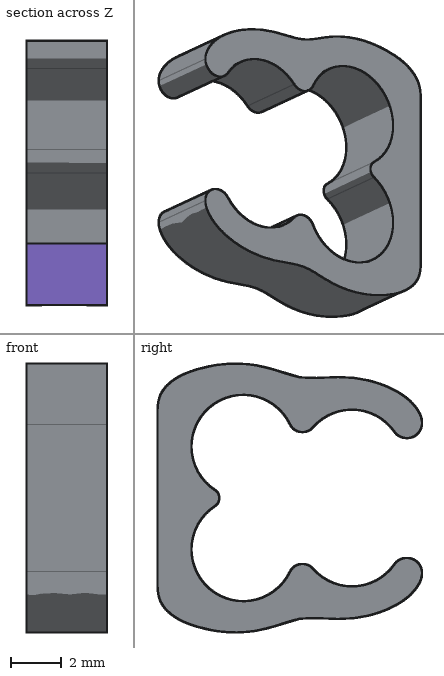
import cadquery as cq
import math

width = 3.17
clip_depth = 10.41
half_height = 5.29
flat_half_height = 2.9

pocket_radius = 2.03
rear_pocket = (3.38, 2.02)
front_pocket = (7.65, 1.44)

tip_radius = 0.6
tip_height = 2.95
tip_center = (clip_depth - tip_radius, tip_height)
tip_end = (clip_depth, tip_height)

arm_ridge_radius = 0.55
back_ridge_radius = 0.38

crest = (3.13, half_height)
shoulder_points = [(0.13, 4.08), (0.56, 4.59), (1.44, 5.03)]
arm_points = [(4.5, 5.08), (5.6, 4.75), (7.09, 4.76), (8.43, 4.59), (9.53, 4.13), (10.19, 3.53)]
outer_points = shoulder_points + [crest] + arm_points


def toward(start, target, distance):
    """Point at a given distance from start along the line to target."""
    span = math.dist(start, target)
    return tuple(s + (t - s) * distance / span for s, t in zip(start, target))


def toward_angle(center, radius, degrees):
    """Point on a circle, measured from +Y toward +Z."""
    angle = math.radians(degrees)
    return (center[0] + radius * math.cos(angle), center[1] + radius * math.sin(angle))


def arm_ridge_center():
    """Center of the upper circle tangent to both pockets."""
    reach = pocket_radius + arm_ridge_radius
    half_span = math.dist(rear_pocket, front_pocket) / 2
    middle = toward(rear_pocket, front_pocket, half_span)
    rise = math.sqrt(reach**2 - half_span**2)
    along_y = (front_pocket[0] - rear_pocket[0]) / (2 * half_span)
    along_z = (front_pocket[1] - rear_pocket[1]) / (2 * half_span)
    return (middle[0] - rise * along_z, middle[1] + rise * along_y)


def back_ridge_center():
    """Center on Z = 0 of the circle tangent to the rear pockets."""
    reach = pocket_radius + back_ridge_radius
    return (rear_pocket[0] - math.sqrt(reach**2 - rear_pocket[1] ** 2), 0.0)


arm_ridge = arm_ridge_center()
back_ridge = back_ridge_center()
tip_tangent = toward(front_pocket, tip_center, pocket_radius)
front_tangent = toward(front_pocket, arm_ridge, pocket_radius)
rear_tangent = toward(rear_pocket, arm_ridge, pocket_radius)
back_tangent = toward(rear_pocket, back_ridge, pocket_radius)
back_ridge_tip = (back_ridge[0] + back_ridge_radius, 0.0)

tip_bottom = toward_angle(tip_center, tip_radius, -90)
front_top = toward_angle(front_pocket, pocket_radius, 90)
arm_ridge_bottom = toward_angle(arm_ridge, arm_ridge_radius, -90)
rear_top = toward_angle(rear_pocket, pocket_radius, 135)
back_ridge_side = toward_angle(back_ridge, back_ridge_radius, 30)

upper_half = (
    cq.Workplane("YZ", origin=(-width / 2, 0, 0))
    .moveTo(0, 0)
    .lineTo(0, flat_half_height)
    .spline(outer_points + [tip_end], tangents=[(0, 1), (0, -1)], scale=False, includeCurrent=True)
    .threePointArc(tip_bottom, tip_tangent)
    .threePointArc(front_top, front_tangent)
    .threePointArc(arm_ridge_bottom, rear_tangent)
    .threePointArc(rear_top, back_tangent)
    .threePointArc(back_ridge_side, back_ridge_tip)
    .close()
    .extrude(width)
)

result = upper_half.union(upper_half.mirror("XY")).clean()